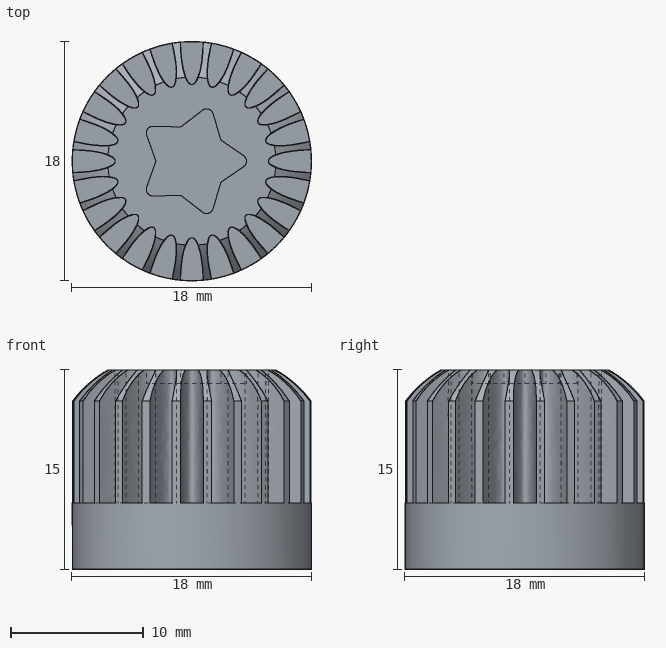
import cadquery as cq
import math

knob_radius = 9.0
knob_height = 15.0
base_height = 5.0
top_radius = 6.32
bevel_height = 2.34
bevel_bulge = 0.2

groove_count = 24
groove_depth = 3.24
groove_half_width = 0.86

star_points = 5
star_tip_radius = 4.5
star_notch_radius = 2.7
star_tip_fillet = 0.5
inlay_depth = 1.0


def make_blank():
    """Plain round knob with a slightly domed bevel around its top face."""
    return (
        cq.Workplane("XZ")
        .moveTo(0, 0)
        .lineTo(knob_radius, 0)
        .lineTo(knob_radius, knob_height - bevel_height)
        .sagittaArc((top_radius, knob_height), -bevel_bulge)
        .lineTo(0, knob_height)
        .close()
        .revolve(360, (0, 0, 0), (0, 1, 0))
    )


def make_groove_cutters():
    """Upright elliptical columns around the rim, rising from the top of the plain base."""
    return (
        cq.Workplane("XY")
        .workplane(offset=base_height)
        .polarArray(knob_radius, 0, 360, groove_count)
        .ellipse(groove_depth, groove_half_width)
        .extrude(knob_height - base_height)
    )


def make_star_inlay():
    """Five-pointed star with rounded tips, one tip pointing along +X."""
    half_step = math.pi / star_points
    corners = []
    for index in range(2 * star_points):
        radius = star_notch_radius if index % 2 else star_tip_radius
        angle = index * half_step
        corners.append((radius * math.cos(angle), radius * math.sin(angle)))
    star = (
        cq.Workplane("XY")
        .workplane(offset=knob_height - inlay_depth)
        .polyline(corners)
        .close()
        .extrude(inlay_depth)
    )
    tip_boundary = (star_notch_radius + star_tip_radius) / 2
    tip_edges = [
        edge
        for edge in star.edges("|Z").vals()
        if math.hypot(edge.Center().x, edge.Center().y) > tip_boundary
    ]
    return star.newObject(tip_edges).fillet(star_tip_fillet)


star_inlay = make_star_inlay()
knob = make_blank().cut(make_groove_cutters()).cut(star_inlay)

result = cq.Compound.makeCompound([knob.val(), star_inlay.val()])